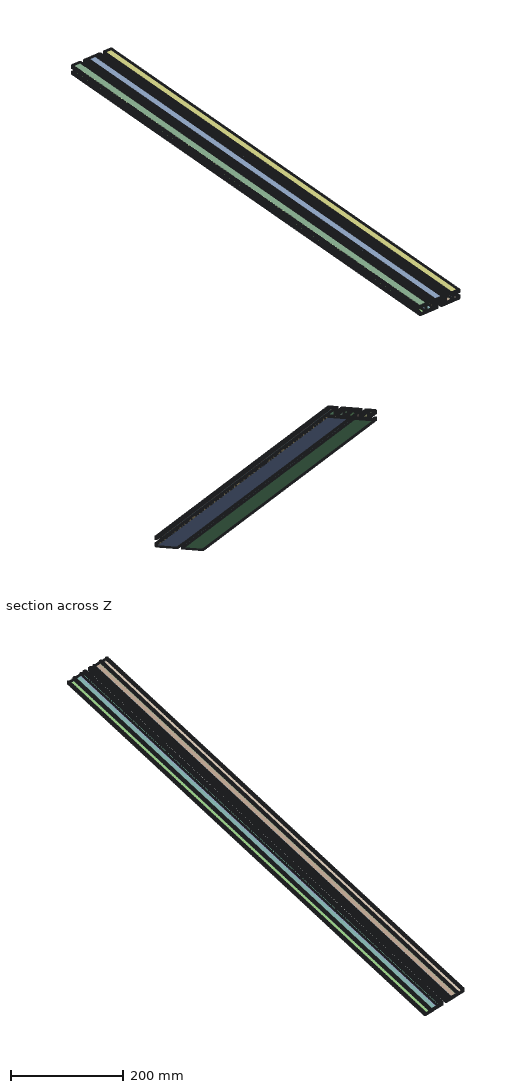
import cadquery as cq

length = 1000.0
width = 90.0
height = 19.0
corner_radius = 2.5

mouth_width = 8.5

top_slot_pitch = width / 2
top_lip = 4.5
top_undercut = 3.0
top_web = 3.5
top_taper_height = 1.0
top_taper_inset = 3.5

bottom_lip = 6.0
bottom_undercut = 3.3
bottom_web = 3.0
bottom_taper_height = 6.5
bottom_taper_inset = 3.5

edge_lip = 2.0
edge_undercut = 2.8
edge_slot_depth = 13.0
edge_taper_height = 2.5
edge_taper_inset = 0.8

chamber_inner_y = 8.5
chamber_width = 5.5
chamber_roof = 1.5
chamber_floor = 2.5


def t_slot(lip, undercut, depth, taper_height, taper_inset):
    """T-slot cutter along X with its mouth on the origin, cutting toward -Z.

    Behind the lips the cavity is wider by the undercut on each side, then tapers in to its floor.
    """
    half_mouth = mouth_width / 2
    half_cavity = half_mouth + undercut
    one_side = [
        (half_mouth, 0),
        (half_mouth, -lip),
        (half_cavity, -lip),
        (half_cavity, taper_height - depth),
        (half_cavity - taper_inset, -depth),
    ]
    other_side = [(-y, z) for y, z in reversed(one_side)]
    return (
        cq.Workplane("YZ")
        .polyline(one_side + other_side)
        .close()
        .extrude(length / 2, both=True)
    )


def turned_about_length(cutter, angle):
    return cutter.rotate((0, 0, 0), (1, 0, 0), angle)


result = cq.Workplane("XY").box(length, width, height).edges("|X").fillet(corner_radius)

bottom_slot = t_slot(
    bottom_lip, bottom_undercut, height - bottom_web, bottom_taper_height, bottom_taper_inset
)
result = result.cut(turned_about_length(bottom_slot, 180).translate((0, 0, -height / 2)))

top_slot = t_slot(top_lip, top_undercut, height - top_web, top_taper_height, top_taper_inset)
edge_slot = t_slot(edge_lip, edge_undercut, edge_slot_depth, edge_taper_height, edge_taper_inset)
chamber = cq.Workplane("XY").box(length, chamber_width, height - chamber_roof - chamber_floor)
chamber_y = chamber_inner_y + chamber_width / 2
chamber_z = (chamber_floor - chamber_roof) / 2

for side in (1, -1):
    result = result.cut(top_slot.translate((0, side * top_slot_pitch / 2, height / 2)))
    result = result.cut(turned_about_length(edge_slot, -90 * side).translate((0, side * width / 2, 0)))
    result = result.cut(chamber.translate((0, side * chamber_y, chamber_z)))